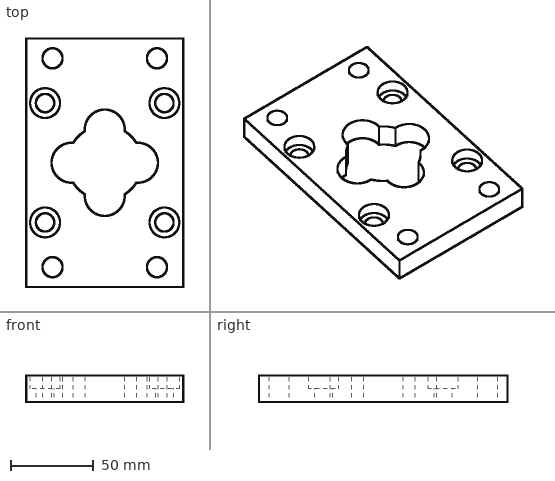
import cadquery as cq

length = 150.0
width = 95.0
thickness = 16.0

corner_hole_diameter = 12.0
corner_hole_x = 31.5
corner_hole_y = 63.0

screw_hole_diameter = 11.0
counterbore_diameter = 18.0
counterbore_depth = 8.0
screw_pitch = 72.0

bore_diameter = 45.0
lobe_diameter = 24.0
opening_span = 64.0
lobe_offset = (opening_span - lobe_diameter) / 2


def make_plate():
    return cq.Workplane("XY").box(width, length, thickness, centered=(True, True, False))


def cut_corner_holes(plate):
    return (
        plate.faces(">Z").workplane(origin=(0, 0, thickness))
        .rarray(2 * corner_hole_x, 2 * corner_hole_y, 2, 2)
        .hole(corner_hole_diameter)
    )


def cut_screw_holes(plate):
    return (
        plate.faces(">Z").workplane(origin=(0, 0, thickness))
        .rarray(screw_pitch, screw_pitch, 2, 2)
        .cboreHole(screw_hole_diameter, counterbore_diameter, counterbore_depth)
    )


def make_opening():
    bore = cq.Workplane("XY").circle(bore_diameter / 2).extrude(thickness)
    lobes = (
        cq.Workplane("XY")
        .polarArray(lobe_offset, 0, 360, 4)
        .circle(lobe_diameter / 2)
        .extrude(thickness)
    )
    return bore.union(lobes)


result = cut_screw_holes(cut_corner_holes(make_plate())).cut(make_opening())